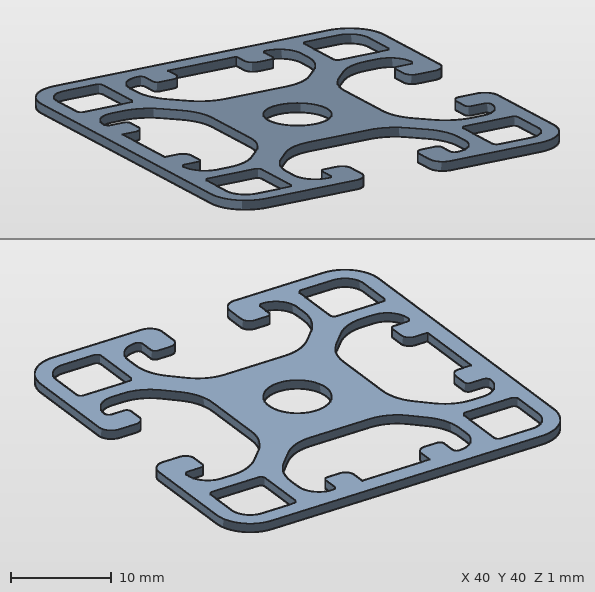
import cadquery as cq
import math

side = 40.0
thickness = 1.0
half_side = side / 2
corner_radius = 4.0
bore_diameter = 6.8

wall = 1.8
chamber_size = 6.4
chamber_outer_radius = corner_radius - wall
chamber_inner_radius = 0.5

mouth_half_width = 4.0
hook_width = 3.0
hook_depth = 4.5
slot_cover = 2.0
slot_depth = 12.25
web_thickness = 3.0
mouth_outer_radius = 1.5
mouth_inner_radius = 1.0
hook_corner_radius = 0.5
hook_root_radius = 0.5
slot_shoulder_radius = 2.5
slot_floor_radius = 5.0
cut_margin = 1.0
tolerance = 1e-6

hook_x = mouth_half_width + hook_width
slot_half_width = half_side - chamber_size - 2 * wall
hook_y = half_side - hook_depth
cover_y = half_side - slot_cover
floor_y = half_side - slot_depth
web_offset = web_thickness / 2 * math.sqrt(2)


def rounded_prism(vertices):
    """Extrude a closed polygon of (x, y, radius) vertices; a zero radius keeps the corner sharp."""
    outline = None
    for index, (x, y, radius) in enumerate(vertices):
        corner = cq.Vector(x, y)
        before = cq.Vector(*vertices[index - 1][:2])
        after = cq.Vector(*vertices[(index + 1) % len(vertices)][:2])
        to_before = (before - corner).normalized()
        to_after = (after - corner).normalized()
        half_angle = to_before.getAngle(to_after) / 2
        setback = radius / math.tan(half_angle)
        start = corner + to_before * setback
        if outline is None:
            outline = cq.Workplane("XY").moveTo(start.x, start.y)
        elif (start - end).Length > tolerance:
            outline = outline.lineTo(start.x, start.y)
        end = corner + to_after * setback
        if radius > 0:
            bisector = (to_before + to_after).normalized()
            middle = corner + bisector * (radius / math.sin(half_angle) - radius)
            outline = outline.threePointArc((middle.x, middle.y), (end.x, end.y))
    return outline.close().extrude(thickness)


def slot_cavity(is_open):
    """Cavity of the +Y slot, either open to the outside or closed by the cover wall."""
    if is_open:
        outer_y = half_side + cut_margin
        mouth = [
            (hook_x, outer_y, 0),
            (hook_x, half_side, 0),
            (mouth_half_width, half_side, mouth_outer_radius),
        ]
    else:
        mouth = [(mouth_half_width, cover_y, 0)]
    right_half = mouth + [
        (mouth_half_width, hook_y, mouth_inner_radius),
        (hook_x, hook_y, hook_corner_radius),
        (hook_x, cover_y, hook_root_radius),
        (slot_half_width, cover_y, slot_shoulder_radius),
        (slot_half_width, slot_half_width + web_offset, slot_floor_radius),
        (floor_y - web_offset, floor_y, slot_floor_radius),
    ]
    left_half = [(-x, y, radius) for x, y, radius in reversed(right_half)]
    return rounded_prism(right_half + left_half)


def corner_chamber():
    """Hollow chamber in the +X +Y corner."""
    outer = half_side - wall
    inner = outer - chamber_size
    return rounded_prism([
        (inner, inner, chamber_inner_radius),
        (outer, inner, chamber_inner_radius),
        (outer, outer, chamber_outer_radius),
        (inner, outer, chamber_inner_radius),
    ])


def turned(solid, angle):
    return solid.rotate((0, 0, 0), (0, 0, 1), angle)


result = cq.Workplane("XY").rect(side, side).extrude(thickness).edges("|Z").fillet(corner_radius)
result = result.cut(cq.Workplane("XY").circle(bore_diameter / 2).extrude(thickness))

for angle, is_open in [(0, True), (90, False), (180, False), (270, True)]:
    result = result.cut(turned(slot_cavity(is_open), angle))
    result = result.cut(turned(corner_chamber(), angle))